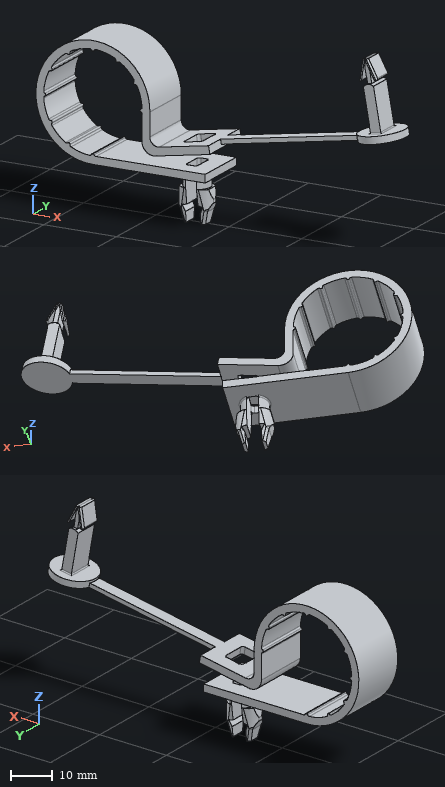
import cadquery as cq
import math

OVERALL_LENGTH = 97.61
OVERALL_HEIGHT = 49.29
BAND_WIDTH = 15.88

LOOP_OUTER_RADIUS = 15.7
WALL = 2.2
LOOP_INNER_RADIUS = LOOP_OUTER_RADIUS - WALL
OPENING_CORNER = 0.75
RIDGE_RADIUS = 0.375
RIDGE_RISE = 0.2
RIDGE_BLEND = 0.55
RIDGE_PITCH = 30
RIDGE_COUNT = 10

PLATE_END_X = 30.9
PLATE_BOTTOM_Z = -LOOP_OUTER_RADIUS

FOOT_X = 24.43
FOOT_RADIUS = 3.55
FOOT_DROP = 12.9
FOOT_BLEND = 0.3
SLOT_HALF = 1.5
SLOT_WIDTH = 6.4
SHANK_LENGTH = 3.7
BARB_LENGTH = 8.0
BARB_TOP_REACH = 4.1
BARB_REACH = 4.7
BARB_PEAK_START = 6.4
BARB_PEAK_END = 7.4
BACK_TOP_RADIUS = 3.25
BACK_TOP_CENTER = 1.4
BACK_TIP_RADIUS = 2.2
BACK_TIP_CENTER = 2.75
HEEL_REACH = 2.8
HEEL_DROP = 8.3
TOE_INNER_REACH = 2.0
TOE_OUTER_REACH = 2.95
TOE_BEND_REACH = 3.75
TOE_BEND_DROP = 9.4
TOE_KNEE_DROP = 10.0
FOOT_TOP_HALF_WIDTH = 3.2
FOOT_TIP_HALF_WIDTH = 1.95
TOE_CHAMFER = 0.65

TILT = 10
FLANGE_END_X = 32.2
FLANGE_THICKNESS = 2.2
STRAP_THICKNESS = 1.3
STRAP_WIDTH = 3.8
STRAP_OVERLAP = 2.2
BEND_INNER_RADIUS = 2.2
BEND_OUTER_RADIUS = 3.2
WINDOW_START_X = 22.75
WINDOW_END_X = 27.9
WINDOW_WIDTH = 7.4
DISC_DIAMETER = 12.7
DISC_THICKNESS = 2.0
DISC_EDGE_Z = 1.4

PIN_THICKNESS = 2.9
PIN_WIDTH = 6.8
ARROW_WIDTH = 6.35
PIN_LENGTH = 11.8
PIN_SHOULDER = 0.5
PIN_BLEND = 0.3
NECK_THICKNESS = 1.2
ARROW_CROWN = 1.6
ARROW_BARB_DIAMETER = 0.75
ARROW_BARB_REACH = 2.1
ARROW_BARB_HEIGHT = 13.45
ARROW_BEVEL_WIDTH = 0.6
ARROW_BEVEL_DEPTH = 0.35

COS = math.cos(math.radians(TILT))
SIN = math.sin(math.radians(TILT))

disc_edge_x = OVERALL_LENGTH - LOOP_OUTER_RADIUS
disc_x = disc_edge_x - DISC_DIAMETER / 2 * COS
disc_z = DISC_EDGE_Z - DISC_DIAMETER / 2 * SIN

foot_tip_z = PLATE_BOTTOM_Z - FOOT_DROP
crown_z = foot_tip_z + OVERALL_HEIGHT
crown_height = (crown_z - disc_z - ARROW_CROWN / 2 * SIN) / COS

strap_frame = cq.Plane(origin=(disc_x, 0, disc_z), xDir=(COS, 0, SIN), normal=(-SIN, 0, COS))
strap_side_frame = cq.Plane(origin=(disc_x, 0, disc_z), xDir=(COS, 0, SIN), normal=(0, -1, 0))


def tilted_z(x, height):
    """Z at a given X on the plane lying `height` above the disc's underside."""
    return disc_z + (x - disc_x) * SIN / COS + height / COS


def make_band():
    """Plate, loop and inclined flange as one bent strip."""
    flange_top = STRAP_THICKNESS
    flange_bottom = STRAP_THICKNESS - FLANGE_THICKNESS
    outer_diagonal = LOOP_OUTER_RADIUS / math.sqrt(2)
    inner_diagonal = LOOP_INNER_RADIUS / math.sqrt(2)
    end_shift = FLANGE_THICKNESS * SIN
    strip = (
        cq.Workplane("XZ")
        .moveTo(PLATE_END_X, PLATE_BOTTOM_Z)
        .lineTo(0, PLATE_BOTTOM_Z)
        .threePointArc((-outer_diagonal, outer_diagonal), (LOOP_OUTER_RADIUS, 0))
        .lineTo(LOOP_OUTER_RADIUS, tilted_z(LOOP_OUTER_RADIUS, flange_top))
        .lineTo(FLANGE_END_X - end_shift, tilted_z(FLANGE_END_X - end_shift, flange_top))
        .lineTo(FLANGE_END_X, tilted_z(FLANGE_END_X, flange_bottom))
        .lineTo(LOOP_INNER_RADIUS, tilted_z(LOOP_INNER_RADIUS, flange_bottom))
        .lineTo(LOOP_INNER_RADIUS, 0)
        .threePointArc((-inner_diagonal, inner_diagonal), (0, -LOOP_INNER_RADIUS))
        .lineTo(PLATE_END_X, -LOOP_INNER_RADIUS)
        .close()
        .extrude(BAND_WIDTH / 2, both=True)
    )
    inner_corner = (LOOP_OUTER_RADIUS, 0, tilted_z(LOOP_OUTER_RADIUS, flange_top))
    outer_corner = (LOOP_INNER_RADIUS, 0, tilted_z(LOOP_INNER_RADIUS, flange_bottom))
    strip = strip.edges(cq.selectors.NearestToPointSelector(inner_corner)).fillet(BEND_INNER_RADIUS)
    return strip.edges(cq.selectors.NearestToPointSelector(outer_corner)).fillet(BEND_OUTER_RADIUS)


def add_ridges(band):
    """Rounded grip ridges along the inside of the loop, blended into it."""
    ridges = (
        cq.Workplane("XZ")
        .polarArray(LOOP_INNER_RADIUS - RIDGE_RISE, 0, RIDGE_PITCH * (RIDGE_COUNT - 1), RIDGE_COUNT)
        .circle(RIDGE_RADIUS)
        .extrude(BAND_WIDTH / 2, both=True)
    )
    margin = RIDGE_RADIUS / 4
    near_wall = (
        cq.Workplane("XZ")
        .circle(LOOP_INNER_RADIUS + margin)
        .circle(LOOP_INNER_RADIUS - margin)
        .extrude(BAND_WIDTH, both=True)
        .val()
    )
    gripped = band.union(ridges)
    roots = [edge for edge in gripped.edges("|Y").vals() if near_wall.isInside(edge.Center())]
    return gripped.newObject(roots).fillet(RIDGE_BLEND)


def make_window():
    """Cutter for the round-cornered window through the inclined flange."""
    start = (WINDOW_START_X - disc_x) / COS
    end = (WINDOW_END_X - disc_x) / COS
    sketch = cq.Sketch().rect(end - start, WINDOW_WIDTH).vertices().fillet(OPENING_CORNER)
    return (
        cq.Workplane(strap_frame)
        .center((start + end) / 2, 0)
        .placeSketch(sketch)
        .extrude(2 * FLANGE_THICKNESS, both=True)
    )


def make_strap_and_disc():
    """Thin strap, rooted inside the flange, ending in a round disc flush underneath."""
    strap_start = (FLANGE_END_X - disc_x) / COS - STRAP_OVERLAP
    strap = (
        cq.Workplane(strap_frame)
        .center(strap_start / 2, 0)
        .rect(-strap_start, STRAP_WIDTH)
        .extrude(STRAP_THICKNESS)
    )
    disc = cq.Workplane(strap_frame).circle(DISC_DIAMETER / 2).extrude(DISC_THICKNESS)
    return strap.union(disc)


def make_pin():
    """Flat pin with a split arrow head, standing on the disc."""
    half = PIN_THICKNESS / 2
    half_neck = NECK_THICKNESS / 2
    shoulder_height = DISC_THICKNESS + PIN_LENGTH
    stem = (
        cq.Workplane(strap_side_frame)
        .moveTo(-half, 0)
        .lineTo(-half, shoulder_height)
        .lineTo(-half_neck, shoulder_height + PIN_SHOULDER)
        .lineTo(half_neck, shoulder_height + PIN_SHOULDER)
        .lineTo(half, shoulder_height)
        .lineTo(half, 0)
        .close()
        .extrude(PIN_WIDTH / 2, both=True)
    )
    neck = (
        cq.Workplane(strap_side_frame)
        .center(0, (shoulder_height + crown_height) / 2)
        .rect(NECK_THICKNESS, crown_height - shoulder_height)
        .extrude(ARROW_WIDTH / 2 - ARROW_BEVEL_WIDTH, both=True)
    )
    return stem.union(neck).union(make_arrow_barb(-1)).union(make_arrow_barb(1))


def make_arrow_barb(side):
    """One round-ended barb hanging from the crown, bevelled along its outer sides."""
    radius = ARROW_BARB_DIAMETER / 2
    top_x = ARROW_CROWN / 2
    end_height = DISC_THICKNESS + ARROW_BARB_HEIGHT
    lean = math.atan2(ARROW_BARB_REACH + radius - top_x, crown_height - end_height)
    across_x = radius * math.cos(lean)
    across_z = radius * math.sin(lean)
    tip_x = radius * math.sin(lean)
    tip_z = radius * math.cos(lean)
    outer_end = (side * (ARROW_BARB_REACH + across_x), end_height + across_z)
    barb = (
        cq.Workplane(strap_side_frame)
        .moveTo(0, crown_height)
        .lineTo(side * top_x, crown_height)
        .lineTo(*outer_end)
        .threePointArc(
            (side * (ARROW_BARB_REACH + tip_x), end_height - tip_z),
            (side * (ARROW_BARB_REACH - across_x), end_height - across_z),
        )
        .close()
        .extrude(ARROW_WIDTH / 2, both=True)
    )
    return barb.intersect(make_bevelled_bar(side, outer_end))


def make_bevelled_bar(side, outer_end):
    """Bar along a barb's outer face, with its two outer long edges bevelled."""
    start = strap_side_frame.toWorldCoords((side * ARROW_CROWN / 2, crown_height, 0))
    end = strap_side_frame.toWorldCoords((outer_end[0], outer_end[1], 0))
    bar_frame = cq.Plane(origin=start.toTuple(), xDir=(0, 1, 0), normal=(end - start).toTuple())
    edge = ARROW_WIDTH / 2
    flat = edge - ARROW_BEVEL_WIDTH
    bevel = -side * ARROW_BEVEL_DEPTH
    inner = -side * PIN_THICKNESS
    section = [(-edge, inner), (-edge, bevel), (-flat, 0), (flat, 0), (edge, bevel), (edge, inner)]
    return cq.Workplane(bar_frame).polyline(section).close().extrude(crown_height, both=True)


def make_foot():
    """Snap foot: two opposed prongs either side of the slot."""
    shank = (
        cq.Workplane("XY", origin=(FOOT_X, 0, PLATE_BOTTOM_Z))
        .circle(FOOT_RADIUS)
        .extrude(-SHANK_LENGTH)
    )
    prong = make_prong()
    return shank.union(prong).union(prong.mirror("YZ", (FOOT_X, 0, 0)))


def make_prong():
    """Barb and toe of the +X prong."""
    outline = (
        cq.Workplane("XZ", origin=(FOOT_X, 0, PLATE_BOTTOM_Z))
        .moveTo(SLOT_HALF, -SHANK_LENGTH)
        .lineTo(BARB_TOP_REACH, -SHANK_LENGTH)
        .lineTo(BARB_REACH, -BARB_PEAK_START)
        .lineTo(BARB_REACH, -BARB_PEAK_END)
        .lineTo(TOE_BEND_REACH, -TOE_BEND_DROP)
        .lineTo(TOE_OUTER_REACH, -FOOT_DROP)
        .lineTo(TOE_INNER_REACH, -FOOT_DROP)
        .lineTo(TOE_INNER_REACH, -TOE_KNEE_DROP)
        .lineTo(HEEL_REACH, -HEEL_DROP)
        .lineTo(SLOT_HALF, -BARB_LENGTH)
        .close()
        .extrude(FOOT_RADIUS, both=True)
    )
    taper = (
        cq.Workplane("YZ", origin=(FOOT_X, 0, PLATE_BOTTOM_Z))
        .moveTo(-FOOT_TOP_HALF_WIDTH, -SHANK_LENGTH)
        .lineTo(FOOT_TOP_HALF_WIDTH, -SHANK_LENGTH)
        .lineTo(FOOT_TIP_HALF_WIDTH, -FOOT_DROP)
        .lineTo(-FOOT_TIP_HALF_WIDTH, -FOOT_DROP)
        .close()
        .extrude(2 * FOOT_RADIUS)
    )
    round_back = (
        cq.Workplane("XY", origin=(FOOT_X, 0, PLATE_BOTTOM_Z - SHANK_LENGTH))
        .center(BACK_TOP_CENTER, 0)
        .circle(BACK_TOP_RADIUS)
        .workplane(offset=SHANK_LENGTH - FOOT_DROP)
        .center(BACK_TIP_CENTER - BACK_TOP_CENTER, 0)
        .circle(BACK_TIP_RADIUS)
        .loft()
    )
    wedge = outline.intersect(taper)
    toe_zone = cq.selectors.BoxSelector(
        (FOOT_X + TOE_OUTER_REACH, -FOOT_RADIUS, foot_tip_z),
        (FOOT_X + BARB_REACH, FOOT_RADIUS, PLATE_BOTTOM_Z - BARB_PEAK_END),
    )
    wedge = wedge.edges(toe_zone).edges("not |Y").chamfer(TOE_CHAMFER)
    return wedge.intersect(round_back)


def make_slot():
    """Cutter for the slot through the plate and between the prongs."""
    plate_slot = (
        cq.Workplane("XY", origin=(FOOT_X, 0, PLATE_BOTTOM_Z))
        .placeSketch(cq.Sketch().rect(2 * SLOT_HALF, SLOT_WIDTH).vertices().fillet(OPENING_CORNER))
        .extrude(WALL)
    )
    foot_slot = (
        cq.Workplane("XY", origin=(FOOT_X, 0, PLATE_BOTTOM_Z))
        .rect(2 * SLOT_HALF, 4 * FOOT_RADIUS)
        .extrude(-BARB_LENGTH)
    )
    return plate_slot.union(foot_slot)


def blend_foot(body):
    """Fillet where the round shank meets the plate."""
    root = cq.selectors.BoxSelector(
        (FOOT_X - 2 * FOOT_RADIUS, -FOOT_RADIUS, PLATE_BOTTOM_Z - FOOT_BLEND),
        (FOOT_X + 2 * FOOT_RADIUS, FOOT_RADIUS, PLATE_BOTTOM_Z + FOOT_BLEND),
    )
    return body.edges(root).edges("%CIRCLE").fillet(FOOT_BLEND)


def blend_pin(body):
    """Fillet where the pin meets the top of the disc."""
    top = cq.Workplane(strap_frame).workplane(offset=DISC_THICKNESS)
    slab = top.rect(PIN_THICKNESS + PIN_BLEND, PIN_WIDTH + PIN_BLEND)
    slab = slab.extrude(PIN_BLEND / 2, both=True).val()
    roots = [edge for edge in body.edges("%LINE").vals() if slab.isInside(edge.Center())]
    return body.newObject(roots).fillet(PIN_BLEND)


band = add_ridges(make_band())
clamp = blend_foot(band.union(make_foot())).cut(make_slot()).cut(make_window())
tail = blend_pin(make_strap_and_disc().union(make_pin()))
result = clamp.union(tail)